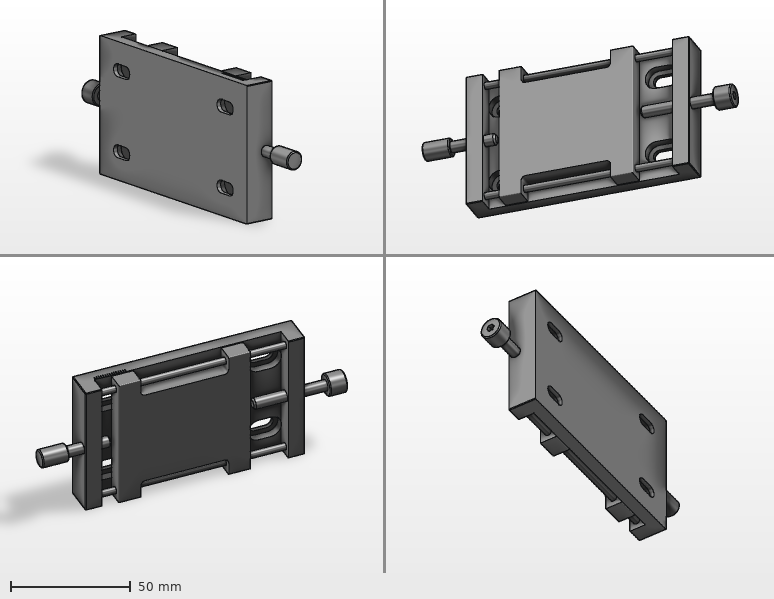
import cadquery as cq
import math


housing_length = 100.0
housing_height = 60.0
base_thickness = 5.7
post_depth = 13.5
post_length = 7.5
housing_chamfer = 0.35

slot_length = 11.0
slot_width = 5.5
slot_lip_thickness = 2.0
head_slot_width = 10.0
slot_spacing_x = 70.1
slot_spacing_z = 35.0

mark_count = 15
mark_pitch = 1.0
mark_length = 1.7
mark_width = 0.21
mark_depth = 0.1

axis_y = 10.0

rod_diameter = 3.0
rod_spacing = 52.0

carriage_length = 60.0
carriage_height = 60.0
carriage_front_y = 6.1
carriage_back_y = 14.0
carriage_center_x = 5.0
carriage_fillet = 0.35
block_length = 10.0
recess_depth = 8.0
recess_radius = 2.1

shank_diameter = 5.0
tip_chamfer = 0.8
tip_gap = 2.5
head_chamfer = 0.48
adjuster_head_diameter = 10.0
adjuster_head_length = 8.0
adjuster_exposed_shank = 11.0
knob_diameter = 8.0
knob_length = 12.0
knob_exposed_shank = 7.5
hex_across_flats = 3.0
hex_depth = 3.0
hex_cone_depth = 1.0
hex_tilt = 8

half_length = housing_length / 2
post_inner_x = half_length - post_length
carriage_left_x = carriage_center_x - carriage_length / 2
carriage_right_x = carriage_center_x + carriage_length / 2


def box(x_range, y_range, z_range):
    """Box between the given pairs of limits."""
    limits = (x_range, y_range, z_range)
    sizes = [high - low for low, high in limits]
    corner = tuple(low for low, high in limits)
    return cq.Workplane("XY").box(*sizes, centered=False).translate(corner)


def rod_along_x(x_start, x_end, diameter, z=0):
    """Cylinder along X on the common axis depth."""
    return (
        cq.Workplane("YZ", origin=(x_start, axis_y, z))
        .circle(diameter / 2)
        .extrude(x_end - x_start)
    )


def guide_rods():
    """Two rods, one near each Z side, from post to post."""
    return [
        rod_along_x(-post_inner_x, post_inner_x, rod_diameter, side * rod_spacing / 2)
        for side in (-1, 1)
    ]


def mounting_slots(length, width, start_y):
    """Four slots along X, cut from the given depth to the inner face of the base plate."""
    return (
        cq.Workplane("XZ", origin=(0, start_y, 0))
        .rarray(slot_spacing_x, slot_spacing_z, 2, 2)
        .slot2D(length, width)
        .extrude(start_y - base_thickness)
    )


def graduation_marks():
    """Thin cutters for the marks, the middle one level with the carriage end."""
    marks = []
    top_z = housing_height / 2
    for index in range(mark_count):
        x = carriage_right_x + (index - (mark_count - 1) / 2) * mark_pitch
        marks.append(
            box(
                (x - mark_width / 2, x + mark_width / 2),
                (base_thickness - mark_length, base_thickness),
                (top_z - mark_depth, top_z),
            )
        )
    return marks


def make_housing():
    """Housing with the guide rods fixed in its posts."""
    half_height = housing_height / 2
    body = box((-half_length, half_length), (0, post_depth), (-half_height, half_height))
    body = body.edges("|Y or >Y").chamfer(housing_chamfer)
    opening = box((-post_inner_x, post_inner_x), (base_thickness, post_depth), (-half_height, half_height))
    through_slots = mounting_slots(slot_length, slot_width, 0)
    head_slots = mounting_slots(
        slot_length + head_slot_width - slot_width, head_slot_width, slot_lip_thickness
    )
    body = body.cut(opening).cut(through_slots).cut(head_slots)
    for mark in graduation_marks():
        body = body.cut(mark)
    for rod in guide_rods():
        body = body.union(rod)
    return body


def make_carriage():
    """Carriage plate, recessed between the end blocks that run on the rods."""
    half_height = carriage_height / 2
    body = box(
        (carriage_left_x, carriage_right_x),
        (carriage_front_y, carriage_back_y),
        (-half_height, half_height),
    )
    body = body.edges(">Y or <Y").fillet(carriage_fillet)
    for side in (-1, 1):
        recess = box(
            (carriage_left_x + block_length, carriage_right_x - block_length),
            (carriage_front_y, carriage_back_y),
            (side * half_height - recess_depth, side * half_height + recess_depth),
        )
        body = body.cut(recess.edges("|Y").fillet(recess_radius))
    for rod in guide_rods():
        body = body.cut(rod)
    return body


def make_adjuster():
    """Socket-head adjusting screw through the left post."""
    seat_x = -half_length - adjuster_exposed_shank
    end_x = seat_x - adjuster_head_length
    head = rod_along_x(end_x, seat_x, adjuster_head_diameter).edges().chamfer(head_chamfer)
    shank = rod_along_x(seat_x, carriage_left_x - tip_gap, shank_diameter)
    shank = shank.faces(">X").chamfer(tip_chamfer)
    socket = (
        cq.Workplane("YZ", origin=(end_x, axis_y, 0))
        .polygon(6, hex_across_flats / math.cos(math.pi / 6))
        .extrude(hex_depth)
        .rotate((0, axis_y, 0), (1, axis_y, 0), -hex_tilt)
    )
    cone = cq.Workplane(
        cq.Solid.makeCone(
            hex_across_flats / 2,
            0,
            hex_cone_depth,
            cq.Vector(end_x + hex_depth, axis_y, 0),
            cq.Vector(1, 0, 0),
        )
    )
    return head.union(shank).cut(socket).cut(cone)


def make_knob_screw():
    """Plain knob screw through the right post."""
    seat_x = half_length + knob_exposed_shank
    knob = rod_along_x(seat_x, seat_x + knob_length, knob_diameter).edges().chamfer(head_chamfer)
    shank = rod_along_x(carriage_right_x + tip_gap, seat_x, shank_diameter)
    shank = shank.faces("<X").chamfer(tip_chamfer)
    return knob.union(shank)


adjuster = make_adjuster()
knob_screw = make_knob_screw()
housing = make_housing().cut(adjuster).cut(knob_screw)
carriage = make_carriage()

result = cq.Compound.makeCompound(
    [housing.val(), carriage.val(), adjuster.val(), knob_screw.val()]
)